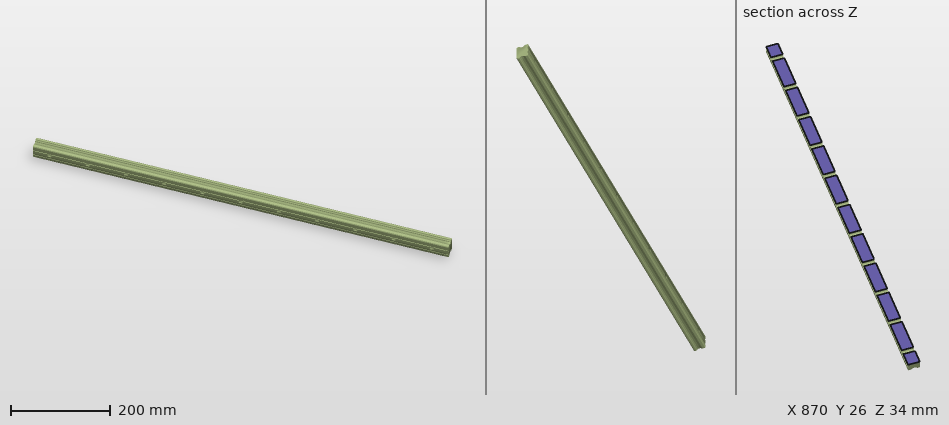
import cadquery as cq
import math

length = 870.0
height = 26.0
width = 34.0

base_y = -height / 2
head_y = height / 2
half_width = width / 2

foot_chamfer_y = 1.2
foot_chamfer_z = 1.85
foot_top_y = -6.6
foot_flank_run = 5.3

waist_depth = 3.75
waist_half_width = half_width - waist_depth
waist_bottom_y = foot_top_y + foot_flank_run
waist_top_y = 3.1

head_bottom_y = 6.7
track_inner_y = 3.9
track_inner_z = 14.7
track_sagitta = 0.7
head_radius = 4.0

groove_inner_z = 3.95
groove_outer_z = 9.15
groove_depth = 1.1
groove_floor_y = base_y + groove_depth

hole_diameter = 9.0
hole_pitch = 80.0
hole_count = 11


def ball_track_middle():
    """Deepest point of the ball track, offset from the middle of its chord into the head."""
    chord_y = head_bottom_y - track_inner_y
    chord_z = half_width - track_inner_z
    chord = math.hypot(chord_y, chord_z)
    middle_y = (track_inner_y + head_bottom_y) / 2 + track_sagitta * chord_z / chord
    middle_z = (track_inner_z + half_width) / 2 - track_sagitta * chord_y / chord
    return middle_y, middle_z


def head_round_middle():
    """Middle point of the quarter round at the top of the head."""
    inset = head_radius * (1 - math.sqrt(0.5))
    return head_y - inset, half_width - inset


def rail_body():
    """The rail section, drawn for +Z, mirrored and swept along the length."""
    half_section = (
        cq.Workplane("YZ")
        .moveTo(base_y, 0)
        .lineTo(base_y, groove_inner_z)
        .lineTo(groove_floor_y, groove_inner_z)
        .lineTo(groove_floor_y, groove_outer_z)
        .lineTo(base_y, groove_outer_z)
        .lineTo(base_y, half_width - foot_chamfer_z)
        .lineTo(base_y + foot_chamfer_y, half_width)
        .lineTo(foot_top_y, half_width)
        .lineTo(waist_bottom_y, waist_half_width)
        .lineTo(waist_top_y, waist_half_width)
        .lineTo(track_inner_y, track_inner_z)
        .threePointArc(ball_track_middle(), (head_bottom_y, half_width))
        .lineTo(head_y - head_radius, half_width)
        .threePointArc(head_round_middle(), (head_y, half_width - head_radius))
        .lineTo(head_y, 0)
    )
    return half_section.mirrorX().extrude(length / 2, both=True)


def mounting_holes():
    """The row of hole cylinders, long enough to pass through the whole height."""
    return (
        cq.Workplane("XZ")
        .rarray(hole_pitch, 1, hole_count, 1)
        .circle(hole_diameter / 2)
        .extrude(height, both=True)
    )


result = rail_body().cut(mounting_holes())